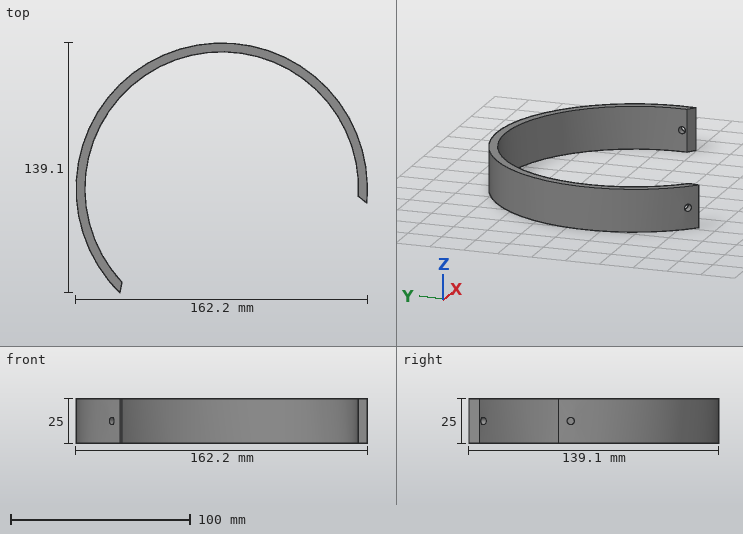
import cadquery as cq
import math

outer_radius = 81.1
wall = 5.0
height = 25.0
opening_direction = -70.0
outer_half_gap = 64.3
inner_half_gap = 66.8
hole_half_gap = 69.0
hole_diameter = 4.0

inner_radius = outer_radius - wall


def polar(radius, angle):
    """Point in the XY plane at an angle in degrees from +X."""
    return (radius * math.cos(math.radians(angle)), radius * math.sin(math.radians(angle)))


def open_ring():
    """C-shaped band whose two end faces are beveled toward the outer tips."""
    band_middle = opening_direction + 180
    return (
        cq.Workplane("XY")
        .workplane(offset=-height / 2)
        .moveTo(*polar(outer_radius, opening_direction + outer_half_gap))
        .threePointArc(
            polar(outer_radius, band_middle),
            polar(outer_radius, opening_direction - outer_half_gap),
        )
        .lineTo(*polar(inner_radius, opening_direction - inner_half_gap))
        .threePointArc(
            polar(inner_radius, band_middle),
            polar(inner_radius, opening_direction + inner_half_gap),
        )
        .close()
        .extrude(height)
    )


def radial_hole(angle):
    """Cutter through the wall at mid-height, pointing away from the ring axis."""
    start = cq.Vector(*polar(inner_radius - wall, angle), 0)
    direction = cq.Vector(*polar(1, angle), 0)
    return cq.Solid.makeCylinder(hole_diameter / 2, 3 * wall, start, direction)


result = open_ring()
for side in (-1, 1):
    result = result.cut(cq.Workplane(obj=radial_hole(opening_direction + side * hole_half_gap)))